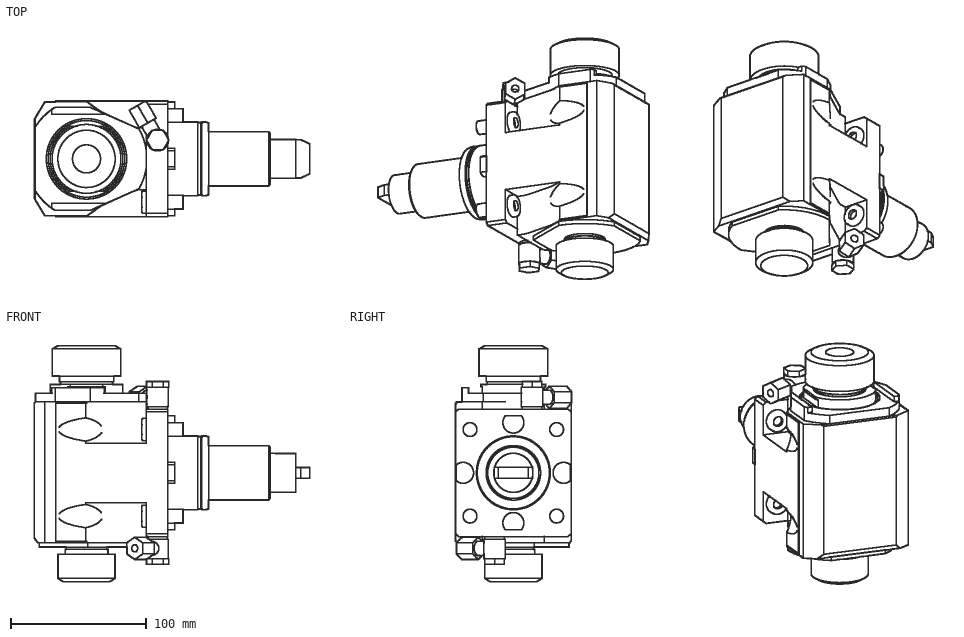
import cadquery as cq
import math


overall_length = 203.0
cut_overrun = 10.2

front_x = -38.5
front_half_width = 28.8
bevel_end_x = -30.7
side_half_width = 42.0
housing_top = 52.2
housing_bottom = -51.5
top_edge_chamfer = 1.0
bottom_bevel_height = 3.9
bottom_bevel_depth = 2.6

pad_half_width = 42.6
pad_start_x = -22.7
pad_top = 51.2
pad_bottom = -50.5

flange_x = 44.0
flange_back_x = 59.9
flange_half_height = 46.9
flange_chamfer_height = 2.0
flange_chamfer_width = 2.5

web_half_height = 22.0
cutout_profile = [(-0.6, pad_half_width), (10.5, 34.7), (34.7, 23.8), (38.0, 22.7), (flange_x, 22.7)]

screw_offset = 31.9
screw_head_radius = 8.1
screw_head_height = 3.2
screw_head_fillet = 0.8
screw_socket_radius = 3.7
screw_socket_depth = 2.5
screw_radius = 5.0
screw_end_x = 71.0
clearance_radius = 9.7
clearance_tilt = 15.0
clearance_tip_x = -20.7

pin_radius = 7.7
pin_offset = 37.0
pin_flat = 42.0
pin_end_x = 65.0

collar_radius = 27.2
collar_end_x = 90.0
collar_grooves = [(82.0, 84.0, 26.8), (84.0, 84.9, 26.2)]
collar_taper_length = 2.0
collar_taper_depth = 0.6
shank_radius = 20.0
shank_end_x = 135.2
shank_chamfer = 1.2
journal_radius = 14.5
journal_end_x = 154.0
tang_half_thickness = 4.0
tang_taper_x = 157.7
tang_end_x = front_x + overall_length
tang_half_width = 14.2
tang_end_half_width = 11.0

plate_radius = 44.5
plate_front_x = -37.5
plate_half_width = 38.0
plate_slope_start_x = 2.6
plate_slope_end = (38.4, 22.1)
plate_top = 58.7
rail_inner_y = 32.7
rail_start_x = -25.5
rail_end_x = 13.0
rail_top = 62.7
recess_steps = [(29.6, 0.8), (28.2, 1.6)]

top_collar_radius = 26.8
top_collar_top = 65.2
top_collar_half_flats = 24.0
wrench_half_flats = 23.0
wrench_flat_top = 63.3
top_neck_step_radius = 19.3
top_neck_step_top = 67.0
top_neck_radius = 20.0
top_nut_radius = 25.4
top_nut_bottom = 71.3
top_nut_top = 93.5
top_nut_chamfer_height = 2.5
top_nut_chamfer_width = 4.3
bore_radius = 10.4
bore_depth = 24.4

bottom_plate_radius = 41.0
bottom_plate_front_x = -35.0
bottom_plate_slope_start_x = 1.0
bottom_plate_slope_end = (34.7, 15.2)
bottom_plate_bottom = -54.6
bottom_neck_step_radius = 15.0
bottom_neck_step_bottom = -56.5
bottom_neck_radius = 15.8
bottom_nut_radius = 21.1
bottom_nut_top = -59.9
bottom_nut_bottom = -80.2
bottom_nut_chamfer_height = 2.5
bottom_nut_chamfer_width = 3.9

fitting_x = 52.4
fitting_y = 13.8
fitting_groove_radius = 7.1
fitting_groove_end = 48.7
fitting_radius = 8.0
fitting_body_end = 63.1
fitting_cap_end = 67.4
hexagon_corners = 16.5
nozzle_z = 55.6
nozzle_length = 29.5
nozzle_nut_length = 14.8
nozzle_radius = 5.3
nozzle_bore_radius = 2.6
nozzle_bore_depth = 10.2
upper_nozzle_angle = 120.0
lower_nozzle_angle = 235.0


def box(x0, x1, y0, y1, z0, z1):
    return cq.Workplane("XY").box(x1 - x0, y1 - y0, z1 - z0, centered=False).translate((x0, y0, z0))


def disc(radius, z0, z1):
    return cq.Workplane("XY").workplane(offset=z0).circle(radius).extrude(z1 - z0)


def rod(radius, x0, x1, y=0.0, z=0.0):
    return cq.Workplane("YZ", origin=(x0, y, z)).circle(radius).extrude(x1 - x0)


def mirrored_prism(half_outline, z0, z1):
    """Prism symmetric about the XZ plane, given the +Y half of its outline."""
    other_half = [(x, -y) for x, y in reversed(half_outline)]
    outline = half_outline + other_half
    return cq.Workplane("XY").workplane(offset=z0).polyline(outline).close().extrude(z1 - z0)


def make_housing():
    outline = [(front_x, front_half_width), (bevel_end_x, side_half_width), (flange_x, side_half_width)]
    body = mirrored_prism(outline, housing_bottom, housing_top)
    body = body.faces("<X").edges(">Z").chamfer(top_edge_chamfer)
    bevel = (
        cq.Workplane("XZ")
        .moveTo(front_x, housing_bottom)
        .lineTo(front_x + bottom_bevel_depth, housing_bottom)
        .lineTo(front_x, housing_bottom + bottom_bevel_height)
        .close()
        .extrude(side_half_width, both=True)
    )
    pads = box(pad_start_x, flange_x, -pad_half_width, pad_half_width, pad_bottom, pad_top)
    return body.cut(bevel).union(pads)


def cut_sides(body):
    outside = pad_half_width + cut_overrun
    outline = cutout_profile + [(flange_x, outside), (cutout_profile[0][0], outside)]
    height = -bottom_plate_bottom - web_half_height
    upper = cq.Workplane("XY").workplane(offset=web_half_height).polyline(outline).close().extrude(height)
    pair = upper.union(upper.mirror("XY"))
    return body.cut(pair).cut(pair.mirror("XZ"))


def cut_screw_clearance(body):
    tilt = math.radians(clearance_tilt)
    tip = (clearance_tip_x, pad_half_width)
    axis_start_x = tip[0] + clearance_radius * math.sin(tilt)
    axis_start_y = tip[1] + clearance_radius * math.cos(tilt)
    direction = cq.Vector(math.cos(tilt), -math.sin(tilt), 0)
    length = (flange_x - axis_start_x) / math.cos(tilt) - clearance_radius * math.tan(tilt)
    for z in (-screw_offset, screw_offset):
        start = cq.Vector(axis_start_x, axis_start_y, z) - direction * cut_overrun
        groove = cq.Workplane(cq.Solid.makeCylinder(clearance_radius, length + cut_overrun, start, direction))
        body = body.cut(groove).cut(groove.mirror("XZ"))
    return body


def make_flange():
    height, width = flange_half_height, pad_half_width
    low, narrow = height - flange_chamfer_height, width - flange_chamfer_width
    quarter = [(width, low), (narrow, height)]
    outline = quarter + [(-y, z) for y, z in reversed(quarter)]
    outline += [(-y, -z) for y, z in outline]
    thickness = flange_back_x - flange_x
    return cq.Workplane("YZ", origin=(flange_x, 0, 0)).polyline(outline).close().extrude(thickness)


def make_screw(y, z):
    head_x = flange_x - screw_head_height
    head = rod(screw_head_radius, head_x, flange_x, y, z).faces("<X").edges().fillet(screw_head_fillet)
    socket = rod(screw_socket_radius, head_x, head_x + screw_socket_depth, y, z)
    return head.cut(socket).union(rod(screw_radius, flange_x, screw_end_x, y, z))


def make_pin(angle):
    pin = rod(pin_radius, flange_back_x, pin_end_x, z=pin_offset)
    above_flat = box(flange_back_x, pin_end_x, -pin_radius, pin_radius, pin_flat, pin_offset + pin_radius)
    return pin.cut(above_flat).rotate((0, 0, 0), (1, 0, 0), angle)


def make_shank():
    collar = rod(collar_radius, flange_back_x, collar_end_x)
    collar = collar.faces(">X").edges().chamfer(collar_taper_length, collar_taper_depth)
    for start, end, bottom_radius in collar_grooves:
        collar = collar.cut(rod(collar_radius, start, end).cut(rod(bottom_radius, start, end)))
    shank = rod(shank_radius, collar_end_x, shank_end_x).faces(">X").edges().chamfer(shank_chamfer)
    journal = rod(journal_radius, shank_end_x, journal_end_x)
    tang_outline = [
        (journal_end_x, tang_half_width),
        (tang_taper_x, tang_half_width),
        (tang_end_x, tang_end_half_width),
    ]
    tang = mirrored_prism(tang_outline, -tang_half_thickness, tang_half_thickness)
    return collar.union(shank).union(journal).union(tang)


def make_top_plate():
    outline = [
        (plate_front_x, plate_half_width),
        (plate_slope_start_x, plate_half_width),
        plate_slope_end,
        (flange_x, plate_slope_end[1]),
    ]
    blank = mirrored_prism(outline, housing_top, rail_top)
    blank = blank.intersect(disc(plate_radius, housing_top, rail_top))
    above = box(plate_front_x, flange_x, -plate_half_width, plate_half_width, plate_top, rail_top)
    for side in (-1, 1):
        y0, y1 = sorted((side * rail_inner_y, side * plate_half_width))
        above = above.cut(box(rail_start_x, rail_end_x, y0, y1, plate_top, rail_top))
    plate = blank.cut(above)
    for radius, depth in recess_steps:
        plate = plate.cut(disc(radius, plate_top - depth, plate_top))
    return plate


def make_top_nut():
    collar_bottom = plate_top - recess_steps[-1][1]
    collar = disc(top_collar_radius, collar_bottom, top_collar_top)
    reach = top_collar_radius
    for bottom, top, flats in (
        (collar_bottom, wrench_flat_top, wrench_half_flats),
        (wrench_flat_top, top_collar_top, top_collar_half_flats),
    ):
        for y0, y1 in ((-reach, -flats), (flats, reach)):
            collar = collar.cut(box(-reach, reach, y0, y1, bottom, top))
    step = disc(top_neck_step_radius, top_collar_top, top_neck_step_top)
    neck = disc(top_neck_radius, top_neck_step_top, top_nut_bottom)
    nut = disc(top_nut_radius, top_nut_bottom, top_nut_top)
    nut = nut.faces(">Z").edges().chamfer(top_nut_chamfer_height, top_nut_chamfer_width)
    bore = disc(bore_radius, top_nut_top - bore_depth, top_nut_top)
    return collar.union(step).union(neck).union(nut).cut(bore)


def make_bottom_plate():
    outline = [
        (bottom_plate_front_x, bottom_plate_radius),
        (bottom_plate_slope_start_x, bottom_plate_radius),
        bottom_plate_slope_end,
    ]
    plate = mirrored_prism(outline, bottom_plate_bottom, housing_bottom)
    return plate.intersect(disc(bottom_plate_radius, bottom_plate_bottom, housing_bottom))


def make_bottom_nut():
    step = disc(bottom_neck_step_radius, bottom_neck_step_bottom, bottom_plate_bottom)
    neck = disc(bottom_neck_radius, bottom_nut_top, bottom_neck_step_bottom)
    nut = disc(bottom_nut_radius, bottom_nut_bottom, bottom_nut_top)
    nut = nut.faces("<Z").edges().chamfer(bottom_nut_chamfer_height, bottom_nut_chamfer_width)
    return step.union(neck).union(nut)


def make_fitting(nozzle_angle):
    """Fitting standing on Z = flange_half_height with a nozzle pointing sideways along nozzle_angle."""
    groove = disc(fitting_groove_radius, flange_half_height, fitting_groove_end)
    body = disc(fitting_radius, fitting_groove_end, fitting_body_end)
    cap = (
        cq.Workplane("XY")
        .workplane(offset=fitting_body_end)
        .polygon(6, hexagon_corners)
        .extrude(fitting_cap_end - fitting_body_end)
    )
    pipe = rod(nozzle_radius, 0, nozzle_length - nozzle_nut_length, z=nozzle_z)
    nut = (
        cq.Workplane("YZ", origin=(nozzle_length - nozzle_nut_length, 0, nozzle_z))
        .transformed(rotate=(0, 0, 90))
        .polygon(6, hexagon_corners)
        .extrude(nozzle_nut_length)
    )
    bore = rod(nozzle_bore_radius, nozzle_length - nozzle_bore_depth, nozzle_length, z=nozzle_z)
    nozzle = pipe.union(nut).cut(bore).rotate((0, 0, 0), (0, 0, 1), nozzle_angle)
    return groove.union(body).union(cap).union(nozzle)


result = cut_screw_clearance(cut_sides(make_housing().union(make_bottom_plate())))
result = result.union(make_flange()).union(make_shank())
result = result.union(make_top_plate()).union(make_top_nut())
result = result.union(make_bottom_nut())
for screw_y in (-screw_offset, screw_offset):
    for screw_z in (-screw_offset, screw_offset):
        result = result.union(make_screw(screw_y, screw_z))
for pin_angle in (0, 90, 180, 270):
    result = result.union(make_pin(pin_angle))
upper_fitting = make_fitting(upper_nozzle_angle).translate((fitting_x, fitting_y, 0))
lower_fitting = make_fitting(lower_nozzle_angle).mirror("XY").translate((fitting_x, -fitting_y, 0))
result = result.union(upper_fitting).union(lower_fitting)